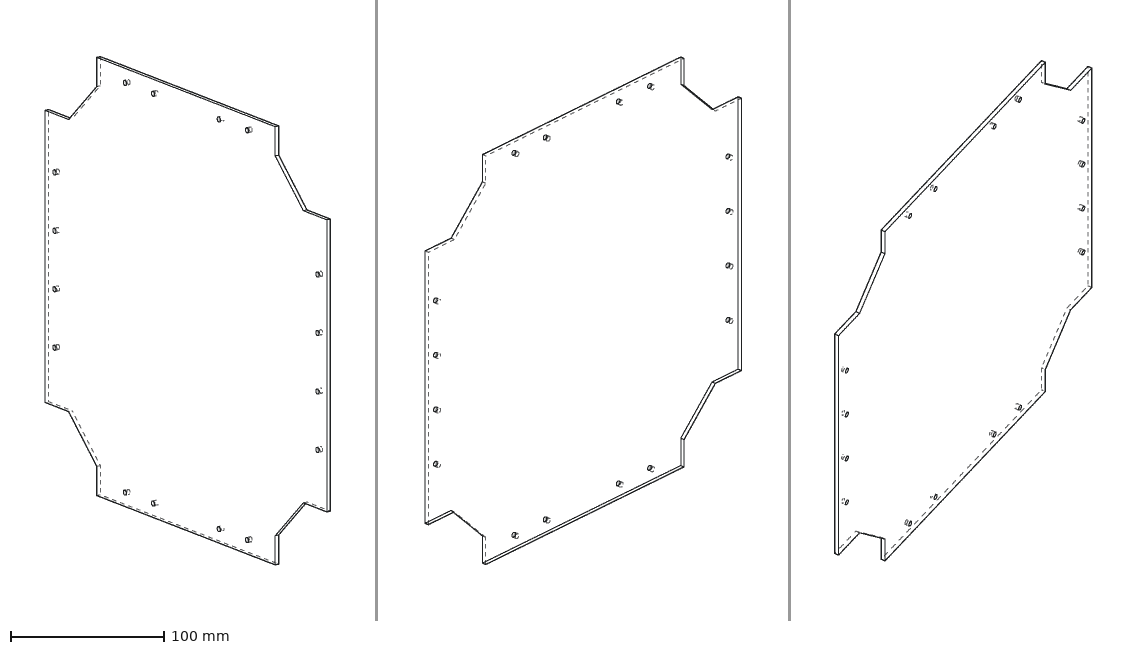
import cadquery as cq

side = 300.0
thickness = 3.0
half_side = side / 2

top_edge_half = 95.0
side_edge_half = 100.0
slope_run = 30.0

hole_diameter = 3.4
hole_inset = 10.0
bottom_hole_inset = 9.55
top_hole_offsets = (35.0, 65.0)
side_hole_offsets = (20.0, 60.0)


def make_plate():
    """Square plate centred on the origin."""
    return cq.Workplane("XY").box(side, thickness, side)


def make_corner_cut(x_sign, z_sign):
    """Prism that removes one corner of the plate."""
    corner = [
        (top_edge_half, half_side),
        (top_edge_half, side_edge_half + slope_run),
        (top_edge_half + slope_run, side_edge_half),
        (half_side, side_edge_half),
        (half_side, half_side),
    ]
    points = [(x_sign * x, z_sign * z) for x, z in corner]
    return cq.Workplane("XZ").polyline(points).close().extrude(thickness, both=True)


def make_holes():
    """Through holes along all four edges."""
    side_row_x = half_side - hole_inset
    top_row_z = half_side - hole_inset
    bottom_row_z = -(half_side - bottom_hole_inset)
    centres = []
    for sign in (-1, 1):
        for x in top_hole_offsets:
            centres.append((sign * x, top_row_z))
            centres.append((sign * x, bottom_row_z))
        for z in side_hole_offsets:
            centres.append((side_row_x, sign * z))
            centres.append((-side_row_x, sign * z))
    holes = cq.Workplane("XZ").pushPoints(centres).circle(hole_diameter / 2)
    return holes.extrude(thickness, both=True)


result = make_plate()
for x_sign in (-1, 1):
    for z_sign in (-1, 1):
        result = result.cut(make_corner_cut(x_sign, z_sign))
result = result.cut(make_holes())